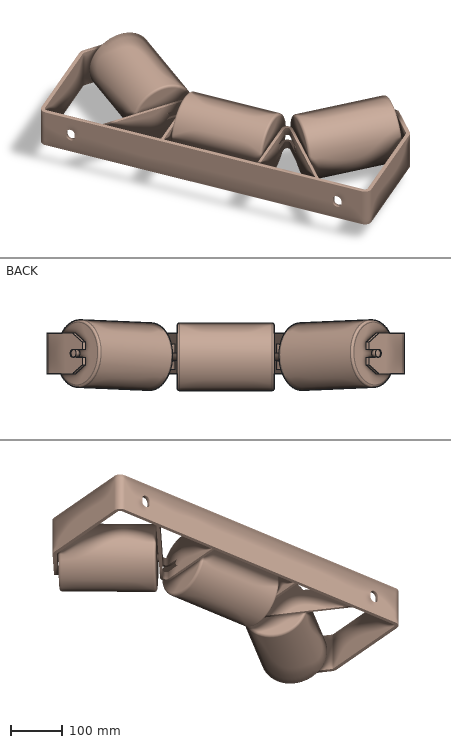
import cadquery as cq
import math

frame_length = 700.0
frame_height = 80.0
frame_thickness = 8.0
frame_bend_radius = 14.0
frame_corner_y = 212.0
arm_length = 108.0
arm_chamfer_length = 30.0
arm_chamfer_height = 17.5
mount_slot_width = 18.0
mount_slot_height = 25.0
mount_slot_x = 283.0

wing_angle = 40.0
tilt_angle = 1.9
roller_diameter = 133.0
roller_length = 190.5
roller_edge_radius = 5.0
axle_diameter = 15.5
middle_roller_y = 127.0
arm_to_axle = 78.5

bracket_height = 50.0
bracket_thickness = 5.5
bracket_bend_radius = 12.0
mount_spacing = 199.0

axle_length = mount_spacing + 2 * bracket_thickness

wing = math.radians(wing_angle)
axis_dir = cq.Vector(math.cos(wing), -math.sin(wing))
arm_dir = cq.Vector(math.sin(wing), math.cos(wing))
roller_drop = mount_spacing * math.sin(math.radians(tilt_angle))

arm_corner = cq.Vector(-frame_length / 2, frame_corner_y)
arm_end = arm_corner + arm_dir * arm_length
side_roller_center = (
    arm_corner
    + arm_dir * arm_to_axle
    + axis_dir * (frame_thickness + mount_spacing / 2)
    - cq.Vector(0, 0, roller_drop / 2)
)


def mirrored(body):
    return body.mirror("YZ")


def offset_path(points, distance):
    """Shift an open path of straight runs to its right by a distance, with mitred corners."""
    runs = [(end - start).normalized() for start, end in zip(points, points[1:])]
    normals = [cq.Vector(run.y, -run.x) for run in runs]
    shifted = [points[0] + normals[0] * distance]
    for corner, before, after in zip(points[1:-1], normals, normals[1:]):
        shifted.append(corner + (before + after) * (distance / (1 + before.dot(after))))
    shifted.append(points[-1] + normals[-1] * distance)
    return shifted


def bent_strip(outer_path, thickness, outer_radius, height):
    """Strip on edge whose outer face follows a path, with rounded bends and centred on Z = 0."""
    inner_path = offset_path(outer_path, thickness)
    outline = [point.toTuple()[:2] for point in outer_path + inner_path[::-1]]
    strip = cq.Workplane("XY").polyline(outline).close().extrude(height / 2, both=True)
    bends = [(point, outer_radius) for point in outer_path[1:-1]]
    bends += [(point, outer_radius - thickness) for point in inner_path[1:-1]]
    for point, radius in bends:
        corner_edge = cq.selectors.NearestToPointSelector(point.toTuple())
        strip = strip.edges("|Z").edges(corner_edge).fillet(radius)
    return strip


def place_side(body):
    """Move a body built along X onto the tilted axis of the left roller."""
    return (
        body.rotate((0, 0, 0), (0, 1, 0), tilt_angle)
        .rotate((0, 0, 0), (0, 0, 1), -wing_angle)
        .translate(side_roller_center)
    )


def place_middle(body):
    return body.translate((0, middle_roller_y, -roller_drop))


def revolved_bar(length, diameter):
    """Round bar along X, centred on the origin."""
    radius = diameter / 2
    return (
        cq.Workplane("XY").center(0, -radius / 2).rect(length, radius)
        .revolve(360, (0, radius / 2), (1, radius / 2))
    )


def make_roller():
    """Roller along X with rounded rims and an axle stub at each end."""
    drum = revolved_bar(roller_length, roller_diameter).edges("%CIRCLE").fillet(roller_edge_radius)
    return drum.union(revolved_bar(axle_length, axle_diameter))


def make_axle_slot():
    """Cutter for a round-bottomed slot along X that opens towards +Y, through both mounts."""
    depth = mount_spacing / 2 + 2 * bracket_bend_radius
    opening = roller_diameter / 2
    round_end = cq.Workplane("YZ").circle(axle_diameter / 2).extrude(depth, both=True)
    channel = (
        cq.Workplane("YZ").center(opening / 2, 0).rect(opening, axle_diameter)
        .extrude(depth, both=True)
    )
    return round_end.union(channel)


side_slot = place_side(make_axle_slot())
middle_slot = place_middle(make_axle_slot())


def make_arm_corner_cutter():
    """Triangular prisms that bevel the top and bottom corners of the left arm's free end."""
    end_plane = cq.Plane(origin=arm_end.toTuple(), xDir=arm_dir.toTuple(), normal=axis_dir.toTuple())
    half_height = frame_height / 2
    cutter = cq.Workplane(end_plane)
    for side in (1, -1):
        cutter = cutter.polyline([
            (0, side * half_height),
            (-arm_chamfer_length, side * half_height),
            (0, side * (half_height - arm_chamfer_height)),
        ]).close()
    return cutter.extrude(frame_thickness)


def make_frame():
    left_points = [arm_end, arm_corner, cq.Vector(-frame_length / 2, 0)]
    right_points = [cq.Vector(-point.x, point.y) for point in reversed(left_points)]
    path = (left_points + right_points)[::-1]
    frame = bent_strip(path, frame_thickness, frame_bend_radius, frame_height)
    for cutter in (side_slot, make_arm_corner_cutter()):
        frame = frame.cut(cutter).cut(mirrored(cutter))
    mount_slots = (
        cq.Workplane("XZ").pushPoints([(-mount_slot_x, 0), (mount_slot_x, 0)])
        .slot2D(mount_slot_height, mount_slot_width, 90).extrude(-frame_thickness)
    )
    return frame.cut(mount_slots)


def make_bracket():
    """Left bracket: an upright leg for the middle roller, folded back into an inclined leg."""
    leg_x = -mount_spacing / 2
    incline_start = arm_corner + axis_dir * (frame_thickness + mount_spacing)
    tip_y = incline_start.y + (leg_x - incline_start.x) / math.tan(wing)
    tip = cq.Vector(leg_x, tip_y)
    incline_foot = tip - arm_dir * (tip_y / math.cos(wing))
    path = [incline_foot, tip, cq.Vector(leg_x, 0)]
    bracket = bent_strip(path, bracket_thickness, bracket_bend_radius, bracket_height)
    bracket = bracket.translate((0, 0, -roller_drop))
    trim = cq.Workplane("XY").box(frame_length, 2 * frame_thickness, frame_length)
    return bracket.cut(trim).cut(side_slot).cut(middle_slot)


frame = make_frame()
left_bracket = make_bracket()
side_roller = place_side(make_roller())
middle_roller = place_middle(make_roller())

brackets = [left_bracket, mirrored(left_bracket)]
rollers = [side_roller, middle_roller, mirrored(side_roller)]

result = cq.Compound.makeCompound([body.val() for body in [frame, *brackets, *rollers]])